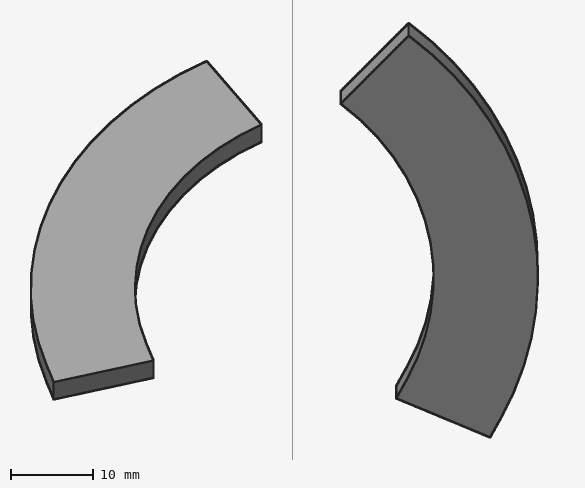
import cadquery as cq
import math

strip_width = 12.7
thickness = 3.05
outer_radius = 45.3
sweep_angle = 75.0
straight_length = 3.05

inner_radius = outer_radius - strip_width


def arc_point(radius, angle):
    """Point on an arc about the origin, at an angle swept clockwise from -Y."""
    swept = math.radians(angle)
    return (-radius * math.sin(swept), -radius * math.cos(swept))


def curved_strip():
    """Flat strip: a short straight run along X, then a bend about the origin."""
    return (
        cq.Workplane("XY")
        .moveTo(straight_length, -outer_radius)
        .lineTo(*arc_point(outer_radius, 0))
        .threePointArc(
            arc_point(outer_radius, sweep_angle / 2),
            arc_point(outer_radius, sweep_angle),
        )
        .lineTo(*arc_point(inner_radius, sweep_angle))
        .threePointArc(
            arc_point(inner_radius, sweep_angle / 2),
            arc_point(inner_radius, 0),
        )
        .lineTo(straight_length, -inner_radius)
        .close()
        .extrude(thickness)
    )


result = curved_strip()